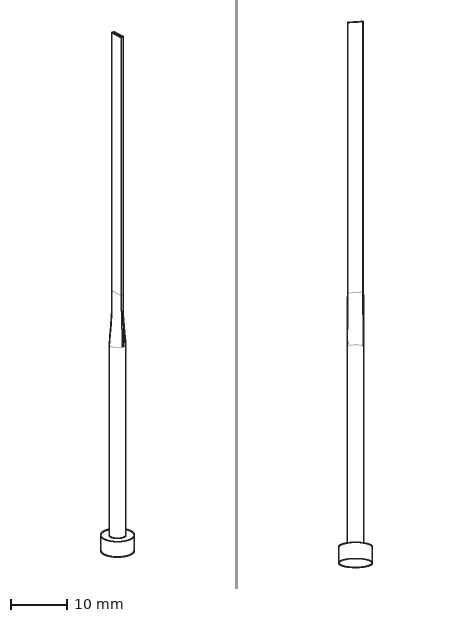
import cadquery as cq

total_length = 100.0
head_diameter = 6.0
head_height = 3.0
shaft_diameter = 3.0
shaft_top = 40.0
blade_length = 50.0
blade_width = 2.8
blade_thickness = 0.5

blade_bottom = total_length - blade_length


def make_head():
    return cq.Workplane("XY").circle(head_diameter / 2).extrude(head_height)


def make_shaft():
    return (
        cq.Workplane("XY")
        .workplane(offset=head_height)
        .circle(shaft_diameter / 2)
        .extrude(shaft_top - head_height)
    )


def make_transition():
    """Blend from the round shaft to the thin rectangle of the blade."""
    return (
        cq.Workplane("XY")
        .workplane(offset=shaft_top)
        .circle(shaft_diameter / 2)
        .workplane(offset=blade_bottom - shaft_top)
        .rect(blade_width, blade_thickness)
        .loft(combine=True)
    )


def make_blade():
    return (
        cq.Workplane("XY")
        .workplane(offset=blade_bottom)
        .rect(blade_width, blade_thickness)
        .extrude(blade_length)
    )


result = make_head().union(make_shaft()).union(make_transition()).union(make_blade())